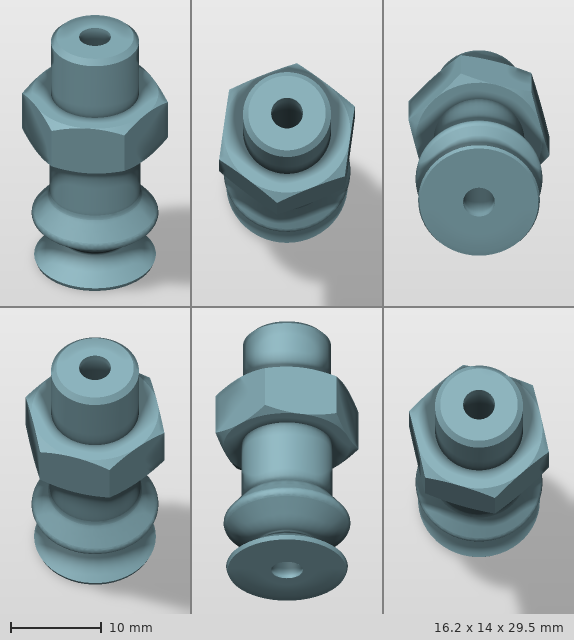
import cadquery as cq
import math

total_height = 29.5
thread_length = 7.5
hex_height = 6.0
hex_top = total_height - thread_length
hex_bottom = hex_top - hex_height

thread_radius = 4.87
thread_chamfer = 0.6

hex_across_flats = 14.0
hex_across_corners = hex_across_flats / math.cos(math.radians(30))
hex_chamfer_angle = 30.0

stem_radius = 5.02
shoulder_height = 8.75
shoulder_fillet = 0.8
bulge_radius = 7.32
bulge_height = 5.95
bulge_fillet = 0.75
waist_radius = 3.45
waist_height = 2.9
waist_fillet = 0.18
lip_radius = 6.73
lip_height = 0.47
lip_bottom_radius = 6.55

bore_diameter = 3.5


def ring_at(radius, height):
    """Select the circular edge of a given radius at a given height."""
    margin = 0.03
    reach = radius + margin
    return cq.selectors.BoxSelector(
        (-reach, -reach, height - margin),
        (reach, reach, height + margin),
        boundingbox=True,
    )


def make_bellows_and_stem():
    body = (
        cq.Workplane("XZ")
        .moveTo(0, 0)
        .lineTo(lip_bottom_radius, 0)
        .lineTo(lip_radius, lip_height)
        .lineTo(waist_radius, waist_height)
        .lineTo(bulge_radius, bulge_height)
        .lineTo(stem_radius, shoulder_height)
        .lineTo(stem_radius, hex_bottom)
        .lineTo(0, hex_bottom)
        .close()
        .revolve(360, (0, 0, 0), (0, 1, 0))
    )
    body = body.edges(ring_at(stem_radius, shoulder_height)).fillet(shoulder_fillet)
    body = body.edges(ring_at(bulge_radius, bulge_height)).fillet(bulge_fillet)
    return body.edges(ring_at(waist_radius, waist_height)).fillet(waist_fillet)


def make_hexagon():
    prism = (
        cq.Workplane("XY")
        .workplane(offset=hex_bottom)
        .polygon(6, hex_across_corners)
        .extrude(hex_height)
    )
    face_radius = hex_across_flats / 2
    corner_radius = hex_across_corners / 2
    corner_drop = (corner_radius - face_radius) * math.tan(math.radians(hex_chamfer_angle))
    trimmer = (
        cq.Workplane("XZ")
        .moveTo(0, hex_bottom)
        .lineTo(face_radius, hex_bottom)
        .lineTo(corner_radius, hex_bottom + corner_drop)
        .lineTo(corner_radius, hex_top - corner_drop)
        .lineTo(face_radius, hex_top)
        .lineTo(0, hex_top)
        .close()
        .revolve(360, (0, 0, 0), (0, 1, 0))
    )
    return prism.intersect(trimmer)


def make_threaded_end():
    return (
        cq.Workplane("XY")
        .workplane(offset=hex_top)
        .circle(thread_radius)
        .extrude(thread_length)
        .faces(">Z")
        .chamfer(thread_chamfer)
    )


bore = cq.Workplane("XY").circle(bore_diameter / 2).extrude(total_height)

result = (
    make_bellows_and_stem()
    .union(make_hexagon())
    .union(make_threaded_end())
    .cut(bore)
)